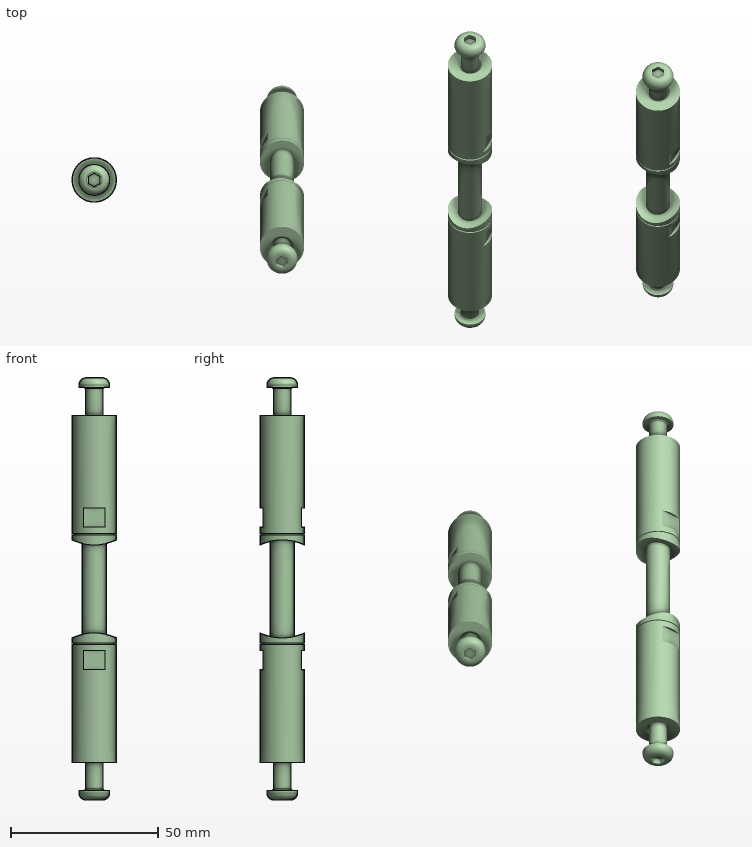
import cadquery as cq
import math

total_length = 143.5
half_length = total_length / 2
sleeve_diameter = 15.0
sleeve_radius = sleeve_diameter / 2

countersink_diameter = 8.0
sleeve_outer_z = 59.0
sleeve_inner_z = 18.8
flat_spacing = 13.2
flat_bottom_z = 21.0
flat_height = 6.5

neck_diameter = 14.0
neck_length = 0.5
saddle_tip_z = 14.9
saddle_curve_radius = 17.4
saddle_neck_z = sleeve_inner_z - neck_length
saddle_curve_z = saddle_tip_z - math.sqrt(saddle_curve_radius**2 - sleeve_radius**2)

rod_diameter = 8.2
rod_insertion = 17.2
rod_end_z = sleeve_inner_z + rod_insertion

shank_diameter = 6.0
head_diameter = 10.5
head_height = 3.3
rim_height = 0.9
crown_diameter = 5.3
crown_bulge_radius = 4.5
crown_bulge_drop = 0.7
flare_diameter = 7.0
flare_length = 0.5
thread_depth = 17.2
hex_width = 4.0
hex_depth = 2.0
screw_tip_z = sleeve_outer_z - thread_depth
head_base_z = half_length - head_height


def cylinder(diameter, bottom_z, top_z):
    return cq.Workplane("XY").workplane(offset=bottom_z).circle(diameter / 2).extrude(top_z - bottom_z)


def upper_sleeve():
    body = cylinder(sleeve_diameter, sleeve_inner_z, sleeve_outer_z)
    body = body.cut(cylinder(rod_diameter, sleeve_inner_z, rod_end_z))
    body = body.cut(cylinder(shank_diameter, screw_tip_z, sleeve_outer_z))
    countersink_depth = (countersink_diameter - shank_diameter) / 2
    countersink = cq.Solid.makeCone(
        shank_diameter / 2,
        countersink_diameter / 2,
        countersink_depth,
        pnt=cq.Vector(0, 0, sleeve_outer_z - countersink_depth),
    )
    body = body.cut(cq.Workplane(countersink))
    for side in (-1, 1):
        flat_cutter = cq.Workplane("XY").box(
            sleeve_diameter, sleeve_diameter, flat_height, centered=(True, True, False)
        )
        cutter_y = side * (flat_spacing + sleeve_diameter) / 2
        body = body.cut(flat_cutter.translate((0, cutter_y, flat_bottom_z)))
    return body.val()


def upper_saddle():
    body = cylinder(sleeve_diameter, saddle_tip_z, saddle_neck_z)
    body = body.union(cylinder(neck_diameter, saddle_neck_z, sleeve_inner_z))
    body = body.cut(cylinder(rod_diameter, saddle_tip_z, sleeve_inner_z))
    curve_cutter = (
        cq.Workplane("YZ")
        .center(0, saddle_curve_z)
        .circle(saddle_curve_radius)
        .extrude(sleeve_radius, both=True)
    )
    return body.cut(curve_cutter).val()


def upper_screw():
    profile = (
        cq.Workplane("XZ")
        .moveTo(0, screw_tip_z)
        .lineTo(shank_diameter / 2, screw_tip_z)
        .lineTo(shank_diameter / 2, head_base_z - flare_length)
        .lineTo(flare_diameter / 2, head_base_z)
        .lineTo(head_diameter / 2, head_base_z)
        .lineTo(head_diameter / 2, head_base_z + rim_height)
        .threePointArc(
            (crown_bulge_radius, half_length - crown_bulge_drop), (crown_diameter / 2, half_length)
        )
        .lineTo(0, half_length)
        .close()
    )
    body = profile.revolve(360, (0, 0, 0), (0, 1, 0))
    socket = (
        cq.Workplane("XY")
        .workplane(offset=half_length - hex_depth)
        .polygon(6, hex_width, circumscribed=True)
        .extrude(hex_depth)
    )
    return body.cut(socket).val()


def rod():
    return cylinder(rod_diameter, -rod_end_z, rod_end_z).val()


bodies = [rod()]
for make_upper_body in (upper_sleeve, upper_saddle, upper_screw):
    upper_body = make_upper_body()
    bodies.append(upper_body)
    bodies.append(upper_body.mirror("XY"))

result = cq.Compound.makeCompound(bodies)